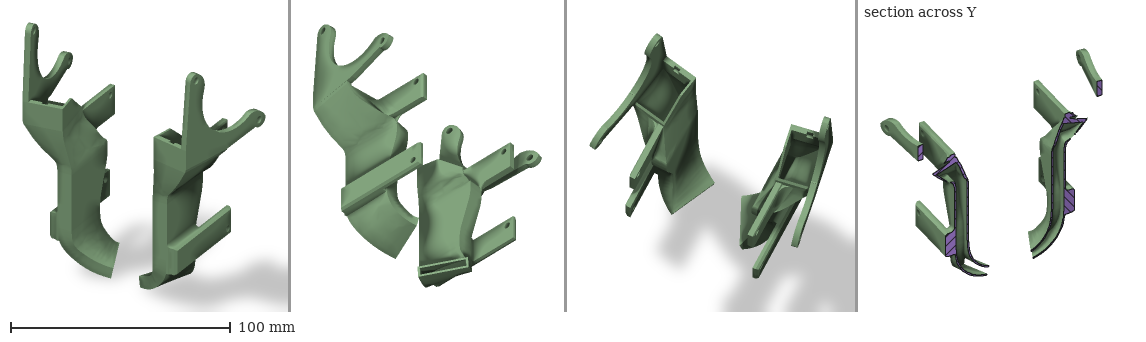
import cadquery as cq
import math


WALL = 1.0
SHOULDER_WALL = 1.4

INLET_ANGLE = 10.0
INLET_CORNER_X = -43.8
INLET_WIDTH = 19.8
INLET_DEPTH = 24.0
INLET_TOP = 90.5
INLET_BEVEL_TOP = 80.5
INLET_BOTTOM = 78.8
INLET_BEVEL = 0.5
INLET_FRONT_WALL = 2.7
NOTCH_WIDTH = 3.1
NOTCH_DEPTH = 1.4
NOTCH_HEIGHT = 3.8
NOTCH_OFFSET = 10.2

SLOPE_START = 11.0

BRACKET_THICKNESS = 3.0
FAN_CENTRE = (32.8, 109.9)
FAN_RADIUS = 21.6
SCALLOP_START = 161
SCALLOP_END = 302
SCALLOP_MIDDLE = (SCALLOP_START + SCALLOP_END) / 2
FRONT_EDGE_TOP = (3.1, 124.7)
UPPER_CAP = (4.5, 127.0)
BRACKET_TOP = (6.9, 127.8)
UPPER_LOBE = (11.6, 124.2)
LOWER_LOBE = (50.1, 90.6)
BRACKET_TIP = (54.3, 86.3)
LOWER_CAP = (51.8, 82.5)
LOWER_EDGE_END = (47.5, 83.3)
LOWER_EDGE_START = (28.0, 80.0)
SCREW_HOLE = 3.5
UPPER_SCREW = (7.0, 124.2)
LOWER_SCREW = (49.7, 86.1)

THROAT_OUTER_X = -29.4
THROAT_INNER_X = -21.7
THROAT_FRONT_Y = 6.9
THROAT_TOP = 55.1
THROAT_BOTTOM = 25.8
THROAT_TOP_REAR_Y = 38.0
THROAT_BOTTOM_REAR_Y = 31.3
UPPER_NARROWING = 44.1
UPPER_NARROWING_REAR_Y = 35.8
LOWER_NARROWING = 33.0
LOWER_NARROWING_REAR_Y = 32.1

TAB_HOLE = 3.2
TAB_HOLE_Y = 51.6
UPPER_TAB_END_Y = 55.6
UPPER_TAB_OUTER_X = -32.0
UPPER_TAB_INNER_X = -28.9
UPPER_TAB_START_Y = 26.2
UPPER_TAB_BOTTOM = 61.9
UPPER_TAB_TOP = 76.9
UPPER_TAB_HOLE_Z = 73.5
LOWER_TAB_OUTER_X = -34.1
LOWER_TAB_INNER_X = -31.3
LOWER_TAB_START_Y = 7.5
LOWER_TAB_END_Y = 55.3
LOWER_TAB_BOTTOM = 18.8
LOWER_TAB_TOP = 32.3
LOWER_TAB_HOLE_RISE = 3.1
TAB_END_BEVEL = 1.3
TAB_SIDE_BEVEL = 0.8
UPPER_TAB_BEVEL_DEPTH = 0.5
LOWER_TAB_BEVEL_DEPTH = 1.3

UPPER_ROOT = (26.7, 4.6, 5.1)
LOWER_ROOT = (35.0, 5.9, 1.3)
ROOT_LEAN = 0.17
WEB_START_Y = 35.8
WEB_END_Y = 40.9
WEB_BOTTOM = 57.5
WEB_ARC_MIDDLE = (39.2, 61.1)

DOWN = cq.Vector(0, 0, -1)


def inlet_point(across, along, z):
    """Point given in the turned frame of the inlet."""
    angle = math.radians(INLET_ANGLE)
    x = INLET_CORNER_X + across * math.cos(angle) - along * math.sin(angle)
    y = across * math.sin(angle) + along * math.cos(angle)
    return cq.Vector(x, y, z)


def inlet_section(outer, inner, front, rear, z):
    """Four corners of a rectangle in the turned frame: front outer, front inner, rear inner, rear outer."""
    corners = [(outer, front), (inner, front), (inner, rear), (outer, rear)]
    return [inlet_point(across, along, z) for across, along in corners]


def throat_section(rear_y, z):
    return [
        cq.Vector(THROAT_OUTER_X, THROAT_FRONT_Y, z),
        cq.Vector(THROAT_INNER_X, THROAT_FRONT_Y, z),
        cq.Vector(THROAT_INNER_X, rear_y, z),
        cq.Vector(THROAT_OUTER_X, rear_y, z),
    ]


def inset(section, wall=WALL):
    """Section moved in by the wall thickness on all four sides."""
    moved = []
    for i, corner in enumerate(section):
        to_next = (section[(i + 1) % 4] - corner).normalized()
        to_previous = (section[i - 1] - corner).normalized()
        moved.append(corner + (to_next + to_previous) * wall)
    return moved


def skin(sections, start=None, end=None):
    """Solid whose four corner edges run smoothly through the sections, with ruled sides between them."""
    tangents = [start] + [None] * (len(sections) - 2) + [end]
    edges = []
    for path in zip(*sections):
        if len(path) == 2:
            edges.append(cq.Edge.makeLine(*path))
        else:
            edges.append(cq.Edge.makeSpline(list(path), tangents=tangents))
    faces = [cq.Face.makeRuledSurface(edges[i - 1], edges[i]) for i in range(4)]
    for section in (sections[0], sections[-1]):
        faces.append(cq.Face.makeFromWires(cq.Wire.makePolygon(section, close=True)))
    solid = cq.Solid.makeSolid(cq.Shell.makeShell(faces))
    return cq.Workplane(obj=solid.fix())


def vectors(*points):
    return [cq.Vector(*point) for point in points]


INLET_RIM = inlet_section(0, INLET_WIDTH, 0, INLET_DEPTH, INLET_TOP)
BEVEL_RIM = inlet_section(0, INLET_WIDTH, 0, INLET_DEPTH, INLET_BEVEL_TOP)
INLET_END = inlet_section(INLET_BEVEL, INLET_WIDTH, 0, INLET_DEPTH, INLET_BOTTOM)

SHOULDER = [
    vectors((-40.9, 1.0, 74.5), (-24.2, 4.0, 74.1), (-28.1, 28.1, 74.1), (-45.0, 24.8, 74.6)),
    vectors((-36.3, 3.1, 67.6), (-23.3, 5.4, 67.1), (-25.4, 32.3, 67.1), (-39.6, 29.4, 67.7)),
    vectors((-31.6, 5.8, 61.7), (-22.2, 6.5, 60.7), (-22.6, 36.5, 60.0), (-33.0, 35.7, 61.6)),
]
THROAT_START = throat_section(THROAT_TOP_REAR_Y, THROAT_TOP)
THROAT_NARROWING = [
    throat_section(UPPER_NARROWING_REAR_Y, UPPER_NARROWING),
    throat_section(LOWER_NARROWING_REAR_Y, LOWER_NARROWING),
]
THROAT_END = throat_section(THROAT_BOTTOM_REAR_Y, THROAT_BOTTOM)

NOZZLE = [
    vectors((-28.0, 7.7, 16.6), (-21.0, 7.9, 18.5), (-21.3, 32.1, 18.5), (-29.1, 32.0, 16.9)),
    vectors((-23.6, 10.0, 10.1), (-17.9, 11.8, 12.7), (-20.2, 35.0, 12.4), (-27.6, 33.6, 9.6)),
    vectors((-17.5, 13.4, 4.3), (-12.9, 15.5, 8.2), (-18.7, 37.3, 8.3), (-23.8, 36.7, 3.3)),
]
MOUTH = vectors((-7.8, 18.4, 0), (-6.8, 18.9, 5.4), (-17.0, 40.5, 5.4), (-18.0, 40.0, 0))


def duct_outside():
    return (
        skin([INLET_RIM, BEVEL_RIM])
        .union(skin([BEVEL_RIM, INLET_END]))
        .union(skin([INLET_END, *SHOULDER, THROAT_START], end=DOWN))
        .union(skin([THROAT_START, *THROAT_NARROWING, THROAT_END], start=DOWN, end=DOWN))
        .union(skin([THROAT_END, *NOZZLE, MOUTH], start=DOWN))
    )


def duct_inside():
    inlet_walls = (
        BRACKET_THICKNESS,
        INLET_WIDTH - WALL,
        INLET_FRONT_WALL,
        INLET_DEPTH - WALL,
    )
    rim = inlet_section(*inlet_walls, INLET_TOP)
    inlet_end = inlet_section(*inlet_walls, INLET_BOTTOM)
    shoulder = [inset(section, SHOULDER_WALL) for section in SHOULDER]
    throat_start = inset(THROAT_START)
    narrowing = [inset(section) for section in THROAT_NARROWING]
    throat_end = inset(THROAT_END)
    nozzle = [inset(section) for section in NOZZLE]
    return [
        skin([rim, inlet_end]),
        skin([inlet_end, *shoulder, throat_start], end=DOWN),
        skin([throat_start, *narrowing, throat_end], start=DOWN, end=DOWN),
        skin([throat_end, *nozzle, inset(MOUTH)], start=DOWN),
    ]


def bracket_plane():
    """Plane on the outer face of the inlet: local x runs along the plate, local y is up."""
    angle = math.radians(INLET_ANGLE)
    along = (-math.sin(angle), math.cos(angle), 0)
    inwards = (math.cos(angle), math.sin(angle), 0)
    return cq.Plane(origin=(INLET_CORNER_X, 0, 0), xDir=along, normal=inwards)


def fan_rim(degrees):
    """Point on the edge of the fan scallop."""
    angle = math.radians(degrees)
    return (
        FAN_CENTRE[0] + FAN_RADIUS * math.cos(angle),
        FAN_CENTRE[1] + FAN_RADIUS * math.sin(angle),
    )


def bracket():
    return (
        cq.Workplane(bracket_plane())
        .moveTo(0, INLET_BEVEL_TOP)
        .lineTo(0, INLET_TOP)
        .lineTo(*FRONT_EDGE_TOP)
        .threePointArc(UPPER_CAP, BRACKET_TOP)
        .threePointArc(UPPER_LOBE, fan_rim(SCALLOP_START))
        .threePointArc(fan_rim(SCALLOP_MIDDLE), fan_rim(SCALLOP_END))
        .threePointArc(LOWER_LOBE, BRACKET_TIP)
        .threePointArc(LOWER_CAP, LOWER_EDGE_END)
        .lineTo(*LOWER_EDGE_START)
        .close()
        .extrude(BRACKET_THICKNESS)
    )


def screw_holes():
    return (
        cq.Workplane(bracket_plane())
        .pushPoints([UPPER_SCREW, LOWER_SCREW])
        .circle(SCREW_HOLE / 2)
        .extrude(BRACKET_THICKNESS)
    )


def rear_slope():
    """Wedge that slopes the inlet rim down to the rear, leaving the bracket whole."""
    return (
        cq.Workplane(bracket_plane())
        .workplane(offset=BRACKET_THICKNESS)
        .moveTo(SLOPE_START, INLET_TOP)
        .lineTo(INLET_DEPTH, INLET_BOTTOM)
        .lineTo(INLET_DEPTH, INLET_TOP)
        .close()
        .extrude(INLET_WIDTH - BRACKET_THICKNESS)
    )


def notch():
    return (
        cq.Workplane(bracket_plane())
        .workplane(offset=NOTCH_OFFSET - NOTCH_WIDTH / 2)
        .moveTo(INLET_FRONT_WALL - NOTCH_DEPTH, INLET_TOP - NOTCH_HEIGHT)
        .rect(NOTCH_DEPTH, NOTCH_HEIGHT, centered=False)
        .extrude(NOTCH_WIDTH)
    )


def bar(x_range, y_range, z_range):
    """Box between the given limits."""
    sizes = [high - low for low, high in (x_range, y_range, z_range)]
    corner = (x_range[0], y_range[0], z_range[0])
    return cq.Workplane().box(*sizes, centered=False).translate(corner)


def tab_hole(outer_x, inner_x, z):
    return (
        cq.Workplane("YZ", origin=(outer_x, TAB_HOLE_Y, z))
        .circle(TAB_HOLE / 2)
        .extrude(inner_x - outer_x)
    )


def root_profile(root_y, tab_reach, duct_reach, z):
    """Concave corner between the tab and the duct behind it, tangent to both."""
    tab_end = cq.Vector(UPPER_TAB_OUTER_X, root_y + tab_reach, z)
    duct_end = cq.Vector(UPPER_TAB_OUTER_X - duct_reach, root_y - duct_reach * ROOT_LEAN, z)
    inner = cq.Vector(UPPER_TAB_INNER_X, root_y, z)
    meeting = cq.Vector(UPPER_TAB_OUTER_X, root_y, z)
    curve = cq.Edge.makeBezier([tab_end, meeting, duct_end])
    return cq.Wire.assembleEdges(
        [curve, cq.Edge.makeLine(duct_end, inner), cq.Edge.makeLine(inner, tab_end)]
    )


def upper_tab():
    tab = bar(
        (UPPER_TAB_OUTER_X, UPPER_TAB_INNER_X),
        (UPPER_TAB_START_Y, UPPER_TAB_END_Y),
        (UPPER_TAB_BOTTOM, UPPER_TAB_TOP),
    )
    end_bevel = (
        cq.Workplane("XY", origin=(UPPER_TAB_OUTER_X, UPPER_TAB_END_Y, UPPER_TAB_BOTTOM))
        .lineTo(UPPER_TAB_BEVEL_DEPTH, 0)
        .lineTo(0, -TAB_END_BEVEL)
        .close()
        .extrude(UPPER_TAB_TOP - UPPER_TAB_BOTTOM)
    )
    top_bevel = (
        cq.Workplane("XZ", origin=(UPPER_TAB_OUTER_X, UPPER_TAB_END_Y, UPPER_TAB_TOP))
        .lineTo(UPPER_TAB_BEVEL_DEPTH, 0)
        .lineTo(0, -TAB_SIDE_BEVEL)
        .close()
        .extrude(UPPER_TAB_END_Y - UPPER_TAB_START_Y)
    )
    root = cq.Workplane(
        obj=cq.Solid.makeLoft(
            [
                root_profile(*LOWER_ROOT, UPPER_TAB_BOTTOM),
                root_profile(*UPPER_ROOT, UPPER_TAB_TOP - TAB_SIDE_BEVEL),
            ],
            True,
        )
    )
    web = (
        cq.Workplane("YZ", origin=(THROAT_OUTER_X, 0, 0))
        .moveTo(WEB_END_Y, UPPER_TAB_BOTTOM)
        .threePointArc(WEB_ARC_MIDDLE, (THROAT_TOP_REAR_Y, WEB_BOTTOM))
        .lineTo(WEB_START_Y, WEB_BOTTOM)
        .lineTo(WEB_START_Y, UPPER_TAB_BOTTOM)
        .close()
        .extrude(UPPER_TAB_INNER_X - THROAT_OUTER_X)
    )
    return tab.cut(end_bevel).cut(top_bevel).union(web).union(root)


def lower_tab():
    tab = bar(
        (LOWER_TAB_OUTER_X, LOWER_TAB_INNER_X),
        (LOWER_TAB_START_Y, LOWER_TAB_END_Y),
        (LOWER_TAB_BOTTOM, LOWER_TAB_TOP),
    )
    tab = tab.faces("<X").chamfer(TAB_SIDE_BEVEL, LOWER_TAB_BEVEL_DEPTH)
    return tab.union(lower_neck())


def lower_neck():
    """Foot that joins the lower tab to the throat, with rounds flaring up and to the front."""
    flare = THROAT_OUTER_X - LOWER_TAB_INNER_X
    slant = flare * (1 - math.sqrt(0.5))
    foot_x = THROAT_OUTER_X + WALL / 2
    front_round = (
        cq.Workplane("XY", origin=(LOWER_TAB_INNER_X, LOWER_TAB_START_Y - flare, LOWER_TAB_BOTTOM))
        .circle(flare)
        .extrude(LOWER_TAB_TOP - LOWER_TAB_BOTTOM + flare)
    )
    return (
        cq.Workplane("XZ", origin=(0, THROAT_FRONT_Y, 0))
        .moveTo(LOWER_TAB_INNER_X, LOWER_TAB_BOTTOM)
        .lineTo(LOWER_TAB_INNER_X, LOWER_TAB_TOP)
        .threePointArc(
            (THROAT_OUTER_X - slant, LOWER_TAB_TOP + slant),
            (THROAT_OUTER_X, LOWER_TAB_TOP + flare),
        )
        .lineTo(foot_x, LOWER_TAB_TOP + flare)
        .lineTo(foot_x, LOWER_TAB_BOTTOM)
        .close()
        .extrude(THROAT_FRONT_Y - THROAT_BOTTOM_REAR_Y)
        .cut(front_round)
    )


def fan_duct(lower_hole_z):
    duct = duct_outside().union(upper_tab()).union(lower_tab())
    for cavity in duct_inside():
        duct = duct.cut(cavity)
    return (
        duct.cut(rear_slope())
        .cut(notch())
        .union(bracket())
        .cut(screw_holes())
        .cut(tab_hole(UPPER_TAB_OUTER_X, UPPER_TAB_INNER_X, UPPER_TAB_HOLE_Z))
        .cut(tab_hole(LOWER_TAB_OUTER_X, LOWER_TAB_INNER_X, lower_hole_z))
    )


lower_tab_middle = (LOWER_TAB_BOTTOM + LOWER_TAB_TOP) / 2
left_duct = fan_duct(lower_tab_middle + LOWER_TAB_HOLE_RISE)
right_duct = fan_duct(lower_tab_middle - LOWER_TAB_HOLE_RISE).mirror("YZ")

result = cq.Compound.makeCompound([left_duct.val(), right_duct.val()])